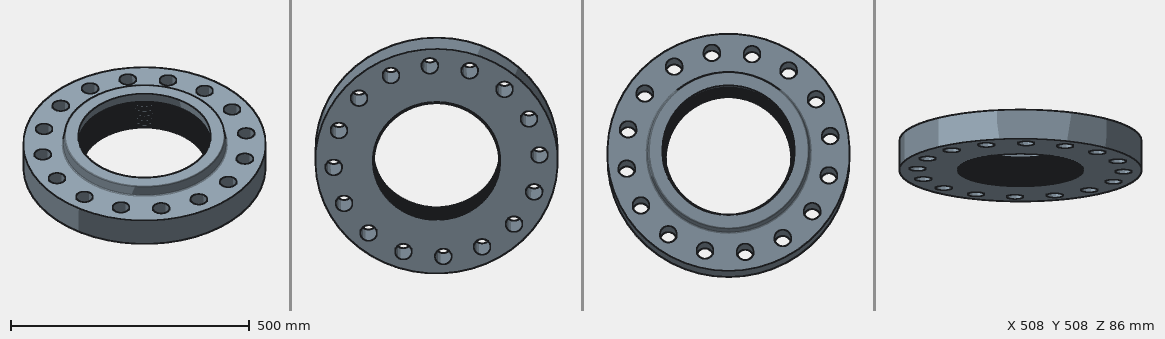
import cadquery as cq
import math

flange_diameter = 508.0
flange_thickness = 63.5
total_height = 86.0

bolt_count = 16
bolt_circle_diameter = 431.5
bolt_hole_diameter = 35.0

hub_base_radius = 171.0
hub_top_radius = 167.5
hub_base_fillet = 2.0
hub_top_fillet = 1.5

counterbore_radius = 138.5
counterbore_depth = 21.5

groove_count = 15
groove_depth = 2.5
thread_crest_radius = 131.0
taper_on_diameter = 1 / 16

thread_length = total_height - counterbore_depth
thread_pitch = thread_length / (groove_count - 0.5)


def crest_radius(z):
    """Radius of the thread crests at height z."""
    return thread_crest_radius + z * taper_on_diameter / 2


def make_body():
    """Flange disc with the hub on top, still without openings."""
    disc = cq.Workplane("XY").circle(flange_diameter / 2).extrude(flange_thickness)
    hub_height = total_height - flange_thickness
    hub_draft = math.degrees(math.atan2(hub_base_radius - hub_top_radius, hub_height))
    hub = (
        cq.Workplane("XY", origin=(0, 0, flange_thickness))
        .circle(hub_base_radius)
        .extrude(hub_height, taper=hub_draft)
    )
    body = disc.union(hub)
    body = body.faces(">Z").edges().fillet(hub_top_fillet)
    hub_foot = cq.selectors.RadiusNthSelector(-2)
    return body.edges(hub_foot).fillet(hub_base_fillet)


def make_bore():
    """Cutter for the grooved bore and the counterbore."""
    outline = cq.Workplane("XZ").moveTo(0, 0)
    for groove in range(groove_count):
        crest_z = groove * thread_pitch
        root_z = crest_z + thread_pitch / 2
        outline = outline.lineTo(crest_radius(crest_z), crest_z)
        outline = outline.lineTo(crest_radius(root_z) + groove_depth, root_z)
    outline = outline.lineTo(counterbore_radius, thread_length)
    outline = outline.lineTo(counterbore_radius, total_height)
    outline = outline.lineTo(0, total_height).close()
    return outline.revolve(360, (0, 0, 0), (0, 1, 0))


def make_bolt_holes():
    """Cutters for the ring of through holes."""
    return (
        cq.Workplane("XY")
        .polarArray(bolt_circle_diameter / 2, 0, 360, bolt_count)
        .circle(bolt_hole_diameter / 2)
        .extrude(flange_thickness)
    )


result = make_body().cut(make_bore()).cut(make_bolt_holes())